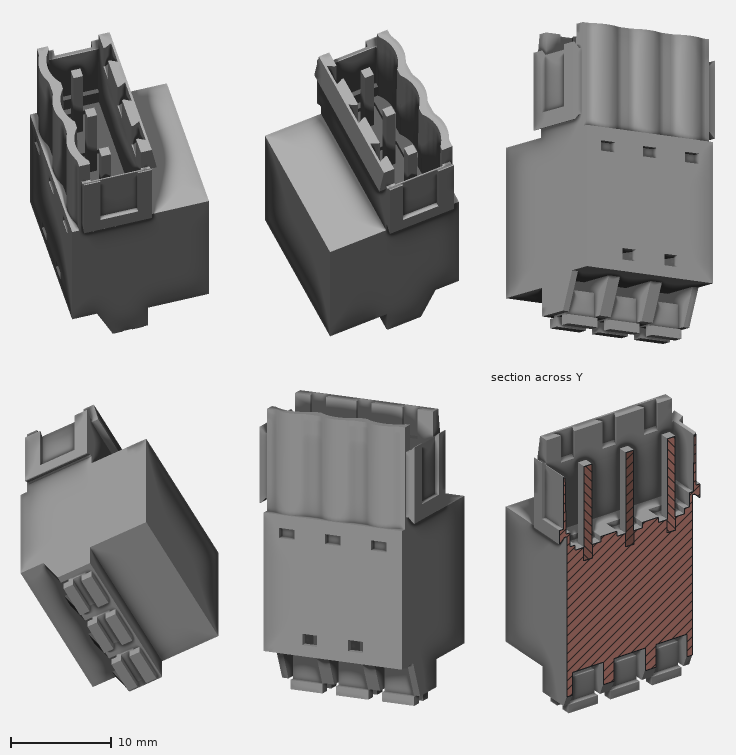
import cadquery as cq
import math


ways = 3
pitch = 5.1
way_positions = [(i - (ways - 1) / 2) * pitch for i in range(ways)]
gap_positions = [(i - (ways - 2) / 2) * pitch for i in range(ways - 1)]

top_z = 29.93
half_width = 7.65

body_depth = 14.2
shoulder_z = 19.35
body_back_bottom_z = 4.07
body_front_bottom_z = 5.0

stem_bottom_z = 1.17
stem_back_y = 7.85
slope_top_y = 2.57
slope_bottom_y = 4.2

shroud_back_y = 8.02
wave_crown_y = 0.27
wave_flat_y = 0.72
crown_half_width = 1.5
blend_half_width = 2.07

lip_bottom_z = 26.88
lip_top_y = 8.25
lip_bottom_y = 8.77

flange_x = 8.6
flange_tip = 0.1
flange_chamfer = 0.57
flange_bottom_z = 20.0
flange_top_z = 27.9
flange_front_y = 1.0
window_x = 8.1
window_front_y = 2.7
window_back_y = 6.58
window_bottom_z = 21.58

cavity_floor_z = shoulder_z
ledge_z = 20.95
side_wall_top_z = flange_top_z - flange_chamfer
cavity_top_half_width = 7.85
cavity_ledge_half_width = 7.72
cavity_front_y = 1.85
cavity_front_floor_y = 1.95
cavity_back_y = 7.12
cavity_back_floor_y = 7.03
draft_start_z = 25.68
lobe_half_width = 2.15
lobe_front_y = 1.1
cavity_floor_half_width = way_positions[-1] + lobe_half_width

keyway_back_y = 8.02
keyway_back_width = 2.42
keyway_neck_y = 7.33
keyway_neck_width = 1.68

pin_y = 4.13
pin_size = 1.0
pin_top_z = flange_top_z
pin_embed = 1.5
seat_width = 3.08
seat_front_y = 2.6
seat_back_y = 5.48
seat_depth = 0.6

test_window_width = 1.75
test_window_height = 1.05
test_window_bottom_z = 16.95
test_window_depth = 0.8

latch_width = 1.65
latch_height = 1.17
latch_bottom_z = 6.17
latch_wall = 0.6
pocket_bottom_z = 5.57
pocket_back_y = 2.4
pocket_back_width = 1.45
pocket_offset = 0.03
pocket_draft = 16.5

slot_width = 3.75
clamp_width = 3.55
clamp_top_z = 3.6
clamp_front_y = 5.0
clamp_back_y = 6.9
clamp_gap_z = 1.05
foot_top_z = 0.95
front_foot = (4.43, 5.48)
back_foot = (6.43, 7.6)


def box(x_range, y_range, z_range):
    """Axis-aligned box between the given pairs of limits."""
    size = [high - low for low, high in (x_range, y_range, z_range)]
    corner = (x_range[0], y_range[0], z_range[0])
    return cq.Workplane("XY").box(*size, centered=False).translate(corner)


def centred(middle, width):
    """Pair of limits that lie half the width either side of the middle."""
    return (middle - width / 2, middle + width / 2)


def side_profile(points, width):
    """Solid with a Y-Z outline, centred across X."""
    return cq.Workplane("YZ").polyline(points).close().extrude(width / 2, both=True)


def make_body():
    """Main block with the stem and its sloped front."""
    outline = [
        (0, body_front_bottom_z),
        (0, shoulder_z),
        (body_depth, shoulder_z),
        (body_depth, body_back_bottom_z),
        (stem_back_y, body_back_bottom_z),
        (stem_back_y, stem_bottom_z),
        (slope_bottom_y, stem_bottom_z),
        (slope_top_y, body_front_bottom_z),
    ]
    return side_profile(outline, 2 * half_width)


def make_shroud():
    """Solid shroud block whose front follows one rounded bulge per way."""
    bulge = wave_flat_y - wave_crown_y
    crown_end_y = wave_crown_y + bulge * crown_half_width / blend_half_width
    blend_middle = (crown_half_width + blend_half_width) / 2
    blend_middle_y = wave_flat_y - (wave_flat_y - crown_end_y) / 4
    wave = cq.Workplane("XY").workplane(offset=shoulder_z).moveTo(-half_width, wave_flat_y)
    for x in way_positions:
        wave = (
            wave.lineTo(x - blend_half_width, wave_flat_y)
            .threePointArc((x - blend_middle, blend_middle_y), (x - crown_half_width, crown_end_y))
            .threePointArc((x, wave_crown_y), (x + crown_half_width, crown_end_y))
            .threePointArc((x + blend_middle, blend_middle_y), (x + blend_half_width, wave_flat_y))
        )
    wave = wave.lineTo(half_width, wave_flat_y).lineTo(half_width, shroud_back_y)
    return wave.lineTo(-half_width, shroud_back_y).close().extrude(top_z - shoulder_z)


def make_lip():
    """Wedge-shaped latch lip along the back of the shroud."""
    outline = [
        (cavity_back_y, lip_bottom_z),
        (lip_bottom_y, lip_bottom_z),
        (lip_top_y, top_z),
        (cavity_back_y, top_z),
    ]
    return side_profile(outline, 2 * half_width)


def make_flange(side):
    """Side flange with chamfered inner edges; side is -1 or 1."""
    tip_x = flange_x - flange_tip
    root_x = tip_x - flange_chamfer
    outline = [
        (cavity_floor_half_width, flange_bottom_z + flange_chamfer),
        (root_x, flange_bottom_z + flange_chamfer),
        (tip_x, flange_bottom_z),
        (flange_x, flange_bottom_z),
        (flange_x, flange_top_z),
        (tip_x, flange_top_z),
        (root_x, side_wall_top_z),
        (cavity_floor_half_width, side_wall_top_z),
    ]
    flange = (
        cq.Workplane("XZ", origin=(0, shroud_back_y, 0))
        .polyline([(side * x, z) for x, z in outline])
        .close()
        .extrude(shroud_back_y - flange_front_y)
    )
    window_limits = sorted((side * window_x, side * flange_x))
    window = box(window_limits, (window_front_y, window_back_y), (window_bottom_z, flange_top_z))
    return flange.cut(window)


def make_cavity():
    """Drafted shroud cavity with a ledge along each side and one rounded lobe per way."""
    depth_outline = [
        (cavity_front_floor_y, cavity_floor_z),
        (cavity_front_y, top_z),
        (cavity_back_y, top_z),
        (cavity_back_y, draft_start_z),
        (cavity_back_floor_y, cavity_floor_z),
    ]
    right_outline = [
        (cavity_floor_half_width, cavity_floor_z),
        (cavity_floor_half_width, ledge_z),
        (cavity_ledge_half_width, ledge_z),
        (cavity_top_half_width, side_wall_top_z),
        (cavity_top_half_width, top_z),
    ]
    left_outline = [(-x, z) for x, z in reversed(right_outline)]
    width_form = (
        cq.Workplane("XZ", origin=(0, shroud_back_y, 0))
        .polyline(right_outline + left_outline)
        .close()
        .extrude(shroud_back_y)
    )
    height = top_z - cavity_floor_z
    front_draft = math.degrees(math.atan((cavity_front_floor_y - cavity_front_y) / height))
    cavity = side_profile(depth_outline, 2 * cavity_top_half_width).intersect(width_form)
    for x in way_positions:
        lobe = (
            cq.Workplane("XY", origin=(x, 0, top_z))
            .moveTo(-lobe_half_width, cavity_front_y)
            .threePointArc((0, lobe_front_y), (lobe_half_width, cavity_front_y))
            .lineTo(lobe_half_width, pin_y)
            .lineTo(-lobe_half_width, pin_y)
            .close()
            .extrude(-height, taper=front_draft)
        )
        cavity = cavity.union(lobe)
    return cavity


def make_keyway(x):
    """Dovetail keyway behind a straight neck, above the level of the lip's underside."""
    outline = [
        (-keyway_neck_width / 2, cavity_back_y),
        (keyway_neck_width / 2, cavity_back_y),
        (keyway_neck_width / 2, keyway_neck_y),
        (keyway_back_width / 2, keyway_back_y),
        (-keyway_back_width / 2, keyway_back_y),
        (-keyway_neck_width / 2, keyway_neck_y),
    ]
    plane = cq.Workplane("XY", origin=(x, 0, lip_bottom_z))
    return plane.polyline(outline).close().extrude(top_z - lip_bottom_z)


def make_latch_window(x):
    """Straight window through the front wall into a deeper pocket that narrows towards the back."""
    latch_top_z = latch_bottom_z + latch_height
    window = box(centred(x, latch_width), (0, latch_wall), (latch_bottom_z, latch_top_z))
    flare = (pocket_back_y - latch_wall) * math.tan(math.radians(pocket_draft))
    back_half = pocket_back_width / 2
    front_half = back_half + flare
    outline = [
        (-front_half, latch_wall),
        (front_half, latch_wall),
        (back_half, pocket_back_y),
        (-back_half, pocket_back_y),
    ]
    pocket_x = x + math.copysign(pocket_offset, x)
    plane = cq.Workplane("XY", origin=(pocket_x, 0, pocket_bottom_z))
    pocket = plane.polyline(outline).close().extrude(latch_top_z - pocket_bottom_z)
    return window.union(pocket)


def make_pin(x):
    """Square contact pin standing in the cavity."""
    bottom_z = cavity_floor_z - seat_depth - pin_embed
    return box(centred(x, pin_size), centred(pin_y, pin_size), (bottom_z, pin_top_z))


def make_clamp(x):
    """Wire clamp block with a front and a back foot below the stem."""
    across = centred(x, clamp_width)
    clamp = box(across, (clamp_front_y, clamp_back_y), (clamp_gap_z, clamp_top_z))
    clamp = clamp.union(box(across, (clamp_front_y, front_foot[1]), (0, clamp_gap_z)))
    clamp = clamp.union(box(across, (back_foot[0], clamp_back_y), (0, clamp_gap_z)))
    for foot in (front_foot, back_foot):
        clamp = clamp.union(box(across, foot, (0, foot_top_z)))
    return clamp


def make_housing():
    """Housing with every opening cut."""
    housing = make_body().union(make_shroud()).union(make_lip())
    for side in (-1, 1):
        housing = housing.union(make_flange(side))
    housing = housing.cut(make_cavity())
    for x in way_positions:
        housing = housing.cut(make_keyway(x))
        seat_limits = (cavity_floor_z - seat_depth, cavity_floor_z)
        housing = housing.cut(box(centred(x, seat_width), (seat_front_y, seat_back_y), seat_limits))
        test_limits = (test_window_bottom_z, test_window_bottom_z + test_window_height)
        housing = housing.cut(box(centred(x, test_window_width), (0, test_window_depth), test_limits))
        slot_limits = (stem_bottom_z, body_front_bottom_z)
        housing = housing.cut(box(centred(x, slot_width), (slope_top_y, clamp_back_y), slot_limits))
        housing = housing.cut(make_pin(x))
    for x in gap_positions:
        housing = housing.cut(make_latch_window(x))
    return housing


housing = make_housing()
pins = [make_pin(x) for x in way_positions]
clamps = [make_clamp(x) for x in way_positions]

bodies = [housing] + pins + clamps
result = cq.Compound.makeCompound([body.solids().val() for body in bodies])